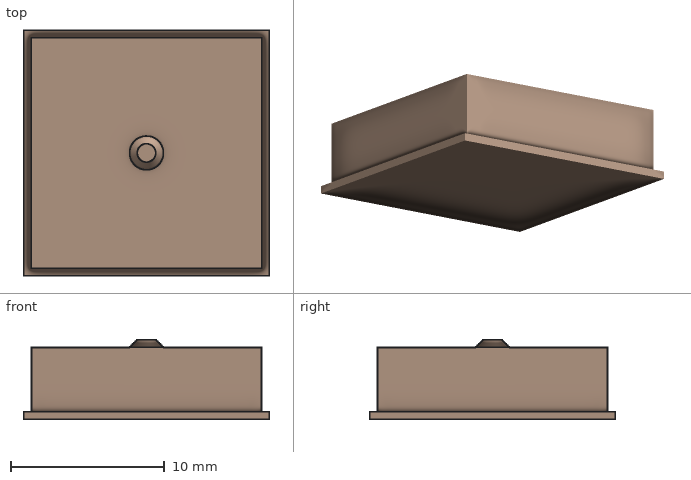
import cadquery as cq

base_side = 16.0
base_thickness = 0.5

block_side = 15.0
block_height = 4.2

total_height = 5.2
button_bottom_diameter = 2.2
button_top_diameter = 1.2

block_top = base_thickness + block_height
button_height = total_height - block_top


def square_slab(side, thickness, bottom):
    """Square slab centred on the Z axis, standing on the given level."""
    return (
        cq.Workplane("XY")
        .workplane(offset=bottom)
        .rect(side, side)
        .extrude(thickness)
    )


def tapered_button():
    """Truncated cone standing on the top of the block."""
    return cq.Workplane(
        cq.Solid.makeCone(
            button_bottom_diameter / 2,
            button_top_diameter / 2,
            button_height,
            pnt=cq.Vector(0, 0, block_top),
        )
    )


base = square_slab(base_side, base_thickness, 0)
block = square_slab(block_side, block_height, base_thickness)
button = tapered_button()

result = cq.Compound.makeCompound([base.val(), block.val(), button.val()])